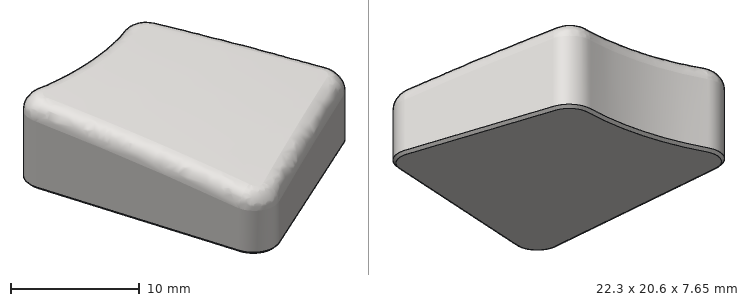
import cadquery as cq
import math

length = 22.25
width = 20.57
height = 7.65

corner_radius = 4.25 / 2
top_fillet = 1.5
bottom_chamfer = 0.25

front_angle = math.radians(14)
axis_x = -19.32
axis_y = width

crown_radius = 267.12
crown_start_angle = math.radians(4.6)

front_right_x = length - corner_radius
front_right_y = corner_radius
front_left_x = corner_radius
front_left_y = front_right_y + (front_right_x - front_left_x) * math.tan(front_angle)
axis_to_corner = math.hypot(front_left_x - axis_x, front_left_y - axis_y)
wall_radius = axis_to_corner - corner_radius


def front_wall_y(x):
    """Y of the slanted front wall at a given X."""
    drop_to_wall = corner_radius / math.cos(front_angle)
    return front_right_y - drop_to_wall + (front_right_x - x) * math.tan(front_angle)


def wall_point(angle):
    """Point of the concave wall, with the angle measured clockwise from +X."""
    return (axis_x + wall_radius * math.cos(angle), axis_y - wall_radius * math.sin(angle))


def front_left_wall_angle():
    """Angle on the concave wall where it meets the slanted front wall."""
    axis_distance = (axis_y - front_wall_y(axis_x)) * math.cos(front_angle)
    return math.asin(axis_distance / wall_radius) + front_angle


def make_block():
    """Upright block with sharp top and bottom edges and rounded corners."""
    end_angle = front_left_wall_angle()
    return (
        cq.Workplane("XY")
        .moveTo(*wall_point(0))
        .threePointArc(wall_point(end_angle / 2), wall_point(end_angle))
        .lineTo(length, front_wall_y(length))
        .lineTo(length, width)
        .close()
        .extrude(height + top_fillet)
        .edges("|Z")
        .fillet(corner_radius)
    )


def make_crown():
    """Revolved body whose upper face falls away from the concave wall."""
    center_offset = crown_radius - top_fillet
    center_r = wall_radius + top_fillet - center_offset * math.sin(crown_start_angle)
    center_z = height - top_fillet - center_offset * math.cos(crown_start_angle)

    def crown_point(r):
        return (r, center_z + math.sqrt(crown_radius**2 - (r - center_r) ** 2))

    inner_r = wall_radius / 2
    outer_r = wall_radius + 1.5 * length
    return (
        cq.Workplane("XZ")
        .moveTo(inner_r, 0)
        .lineTo(*crown_point(inner_r))
        .threePointArc(crown_point((inner_r + outer_r) / 2), crown_point(outer_r))
        .lineTo(outer_r, 0)
        .close()
        .revolve(360, (0, 0, 0), (0, 1, 0))
        .translate((axis_x, axis_y, 0))
    )


body = make_block().intersect(make_crown())
body = body.faces("<Z").chamfer(bottom_chamfer)
result = body.faces(">Z").edges().fillet(top_fillet)